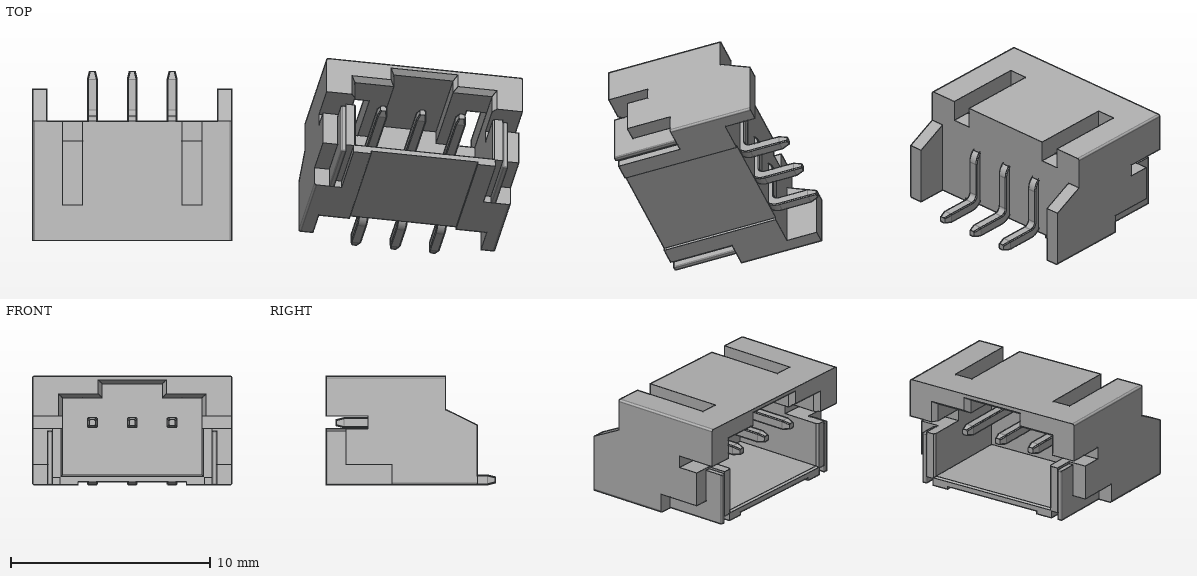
import cadquery as cq
import math


WIDTH = 10.0
HEIGHT = 5.46
BODY_DEPTH = 6.0
EDGE_RADIUS = 0.1
CHEEK_DEPTH = 7.6
CHEEK_WIDTH = 0.71
CHEEK_SLOPE_TOP = 3.79
CHEEK_SLOPE_BOTTOM = 3.0
UNDERCUT_WIDTH = 5.44
UNDERCUT_HEIGHT = 0.15

CAVITY_DEPTH = 5.0
CAVITY_HALF_WIDTH = 3.5
CAVITY_FLOOR = 0.49
CAVITY_ROOF = 4.37
KEYWAY_HALF_WIDTH = 1.51
KEYWAY_ROOF = 5.07
UPPER_BEVEL = 0.2
UPPER_BEVEL_DEPTH = 0.3
LOWER_BEVEL = 0.075
LOWER_BEVEL_DEPTH = 0.12

SIDE_OPENING_DEPTH = 2.1
SIDE_OPENING_BOTTOM = 2.82
SIDE_OPENING_TOP = 3.45
TOP_SLOT_CENTER = 2.99
TOP_SLOT_WIDTH = 1.01
TOP_SLOT_FRONT = 1.8

TAB_INNER_X = 4.0
TAB_OUTER_X = 4.25
TAB_TOP = 2.71
TAB_UPRIGHT_DEPTH = 1.0
TAB_FOOT_DEPTH = 3.3
TAB_FOOT_HEIGHT = 1.02
TAB_EDGE_RADIUS = 0.05
LIP_HALF_WIDTH = 3.62
NOTCH_HEIGHT = 0.38

PIN_PITCH = 2.0
PIN_COUNT = 3
PIN_SIZE = 0.5
PIN_CHAMFER = 0.05
PIN_FRONT = 0.5
PIN_BACK = 8.5
PIN_UPPER_Z = 3.12
PIN_LOWER_Z = PIN_SIZE / 2
PIN_DROP_Y = BODY_DEPTH
PIN_BEND_RADIUS = 0.55
TIP_LENGTH = 0.4
TIP_SIZE = 0.3


def box(x0, x1, y0, y1, z0, z1):
    """Box between two opposite corners."""
    return cq.Workplane("XY").box(x1 - x0, y1 - y0, z1 - z0, centered=False).translate((x0, y0, z0))


def both_sides(solid):
    """The solid and its mirror image in X = 0."""
    return [solid, solid.mirror("YZ")]


def l_profile(x0, x1, upright_top):
    """L-shaped plate, as used for the solder tab and its pocket."""
    return (
        cq.Workplane("YZ", origin=(x0, 0, 0))
        .polyline([
            (0, 0),
            (TAB_FOOT_DEPTH, 0),
            (TAB_FOOT_DEPTH, TAB_FOOT_HEIGHT),
            (TAB_UPRIGHT_DEPTH, TAB_FOOT_HEIGHT),
            (TAB_UPRIGHT_DEPTH, upright_top),
            (0, upright_top),
        ])
        .close()
        .extrude(x1 - x0)
    )


def cavity_outline(margin):
    """Corners of the stepped cavity section, grown outward by a margin."""
    half = CAVITY_HALF_WIDTH + margin
    key = KEYWAY_HALF_WIDTH + margin
    floor = CAVITY_FLOOR - margin
    roof = CAVITY_ROOF + margin
    key_roof = KEYWAY_ROOF + margin
    return [
        (-half, floor), (half, floor), (half, roof), (key, roof),
        (key, key_roof), (-key, key_roof), (-key, roof), (-half, roof),
    ]


def cavity():
    """Stepped cavity, open at the front."""
    return cq.Workplane("XZ").polyline(cavity_outline(0)).close().extrude(-CAVITY_DEPTH)


def mouth_bevel(margin, depth, z0, z1):
    """Bevel around the cavity mouth, limited to heights z0 to z1."""
    flare = (
        cq.Workplane("XZ")
        .polyline(cavity_outline(margin)).close()
        .workplane(offset=-depth)
        .polyline(cavity_outline(0)).close()
        .loft(ruled=True)
    )
    return flare.intersect(box(-WIDTH / 2, WIDTH / 2, 0, depth, z0, z1))


def housing_block():
    """Body with rounded long edges and a sloped cheek behind each side."""
    block = (
        cq.Workplane("YZ", origin=(-WIDTH / 2, 0, 0))
        .polyline([
            (0, 0),
            (CHEEK_DEPTH, 0),
            (CHEEK_DEPTH, CHEEK_SLOPE_BOTTOM),
            (BODY_DEPTH, CHEEK_SLOPE_TOP),
            (BODY_DEPTH, HEIGHT),
            (0, HEIGHT),
        ])
        .close()
        .extrude(WIDTH)
        .edges("|Y and (<X or >X)")
        .fillet(EDGE_RADIUS)
    )
    cheek_inner = WIDTH / 2 - CHEEK_WIDTH
    return block.cut(box(-cheek_inner, cheek_inner, BODY_DEPTH, CHEEK_DEPTH, 0, HEIGHT))


def make_housing(pins):
    """Housing with its cavity, openings, tab pockets and pin passages."""
    housing = housing_block()

    housing = housing.cut(cavity())
    housing = housing.cut(mouth_bevel(UPPER_BEVEL, UPPER_BEVEL_DEPTH, SIDE_OPENING_TOP, HEIGHT))
    housing = housing.cut(mouth_bevel(LOWER_BEVEL, LOWER_BEVEL_DEPTH, 0, SIDE_OPENING_BOTTOM))

    housing = housing.cut(box(
        -WIDTH / 2, WIDTH / 2, 0, SIDE_OPENING_DEPTH, SIDE_OPENING_BOTTOM, SIDE_OPENING_TOP
    ))
    housing = housing.cut(box(
        -UNDERCUT_WIDTH / 2, UNDERCUT_WIDTH / 2, 0, BODY_DEPTH, 0, UNDERCUT_HEIGHT
    ))

    top_slot = box(
        TOP_SLOT_CENTER - TOP_SLOT_WIDTH / 2, TOP_SLOT_CENTER + TOP_SLOT_WIDTH / 2,
        TOP_SLOT_FRONT, BODY_DEPTH, CAVITY_ROOF, HEIGHT,
    )
    tab_pocket = l_profile(TAB_INNER_X, WIDTH / 2, SIDE_OPENING_BOTTOM)
    notch = box(LIP_HALF_WIDTH, TAB_INNER_X, 0, TAB_FOOT_DEPTH, 0, NOTCH_HEIGHT)
    for feature in (top_slot, tab_pocket, notch):
        for cutter in both_sides(feature):
            housing = housing.cut(cutter)

    for pin in pins:
        housing = housing.cut(pin)
    return housing


def make_tab():
    """Solder tab on the +X side, rounded around its front face and along its underside."""
    return (
        l_profile(TAB_INNER_X, TAB_OUTER_X, TAB_TOP)
        .edges("<Y or (<Z and |Y)")
        .fillet(TAB_EDGE_RADIUS)
    )


def pin_section(size):
    """Square section with chamfered corners."""
    return cq.Sketch().rect(size, size).vertices().chamfer(PIN_CHAMFER)


def pin_tip(y, z, direction):
    """Tapered tip at (y, z) that points along +Y or -Y (direction 1 or -1)."""
    plane = cq.Plane(origin=(0, y, z), xDir=(1, 0, 0), normal=(0, direction, 0))
    tip_face = pin_section(TIP_SIZE).moved(cq.Location(cq.Vector(0, 0, TIP_LENGTH)))
    return cq.Workplane(plane).placeSketch(pin_section(PIN_SIZE), tip_face).loft()


def make_pin():
    """Pin bent down behind the cavity and back out to the rear, at X = 0."""
    shank_front = PIN_FRONT + TIP_LENGTH
    shank_back = PIN_BACK - TIP_LENGTH
    r = PIN_BEND_RADIUS
    mid = r * math.sqrt(0.5)
    path = (
        cq.Workplane("YZ")
        .moveTo(shank_front, PIN_UPPER_Z)
        .lineTo(PIN_DROP_Y - r, PIN_UPPER_Z)
        .threePointArc(
            (PIN_DROP_Y - r + mid, PIN_UPPER_Z - r + mid),
            (PIN_DROP_Y, PIN_UPPER_Z - r),
        )
        .lineTo(PIN_DROP_Y, PIN_LOWER_Z + r)
        .threePointArc(
            (PIN_DROP_Y + r - mid, PIN_LOWER_Z + r - mid),
            (PIN_DROP_Y + r, PIN_LOWER_Z),
        )
        .lineTo(shank_back, PIN_LOWER_Z)
    )
    start = cq.Workplane("XZ", origin=(0, shank_front, PIN_UPPER_Z))
    shank = start.placeSketch(pin_section(PIN_SIZE)).sweep(path)
    front_tip = pin_tip(shank_front, PIN_UPPER_Z, -1)
    back_tip = pin_tip(shank_back, PIN_LOWER_Z, 1)
    return shank.union(front_tip).union(back_tip)


center_pin = make_pin()
pins = [center_pin.translate(((i - (PIN_COUNT - 1) / 2) * PIN_PITCH, 0, 0)) for i in range(PIN_COUNT)]
tabs = both_sides(make_tab())
housing = make_housing(pins)

result = cq.Compound.makeCompound([
    housing.val(),
    *[pin.val() for pin in pins],
    *[tab.val() for tab in tabs],
])